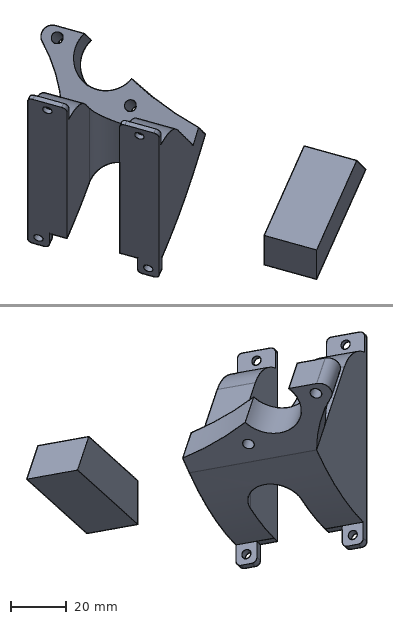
import cadquery as cq
import math


bracket_width = 50.0
bracket_height = 83.6
flange_width = 15.0
top_flange_thickness = 2.0
flange_corner_radius = 2.0
slot_width = bracket_width - 2 * flange_width
slot_depth = 34.1
shoulder_z = 75.4
shoulder_mid_y = 10.8
shoulder_mid_z = 71.8
slope_start_y = 19.8

tab_width = 8.3
tab_height = 8.3
tab_thickness = 3.3
screw_diameter = 3.5
screw_edge_distance = 4.0

arm_tilt = 30.0
arm_thickness = 15.0
arm_length = 28.4
arm_right_length = 6.8
arm_tip_x = -11.0
arm_tip_radius = 4.1
arm_tip_end_angle = 35.0
arm_edge_mid = (-7.3, 13.6)
jaw_center_x = 10.3
jaw_radius = 12.0
jaw_end = (21.4, 17.3)
right_edge_mid = (35.0, 11.3)
arm_hole_diameter = 4.3
arm_holes = [(-9.1, 24.3), (23.8, 7.8)]

block_width = 20.0
block_height = 17.1
block_top_length = 43.3
overall_length = 125.0
block_right_x = overall_length + arm_tip_x - arm_tip_radius
block_bottom_z = 24.8

underside_radius = 88.5
tilt_sin = math.sin(math.radians(arm_tilt))
tilt_cos = math.cos(math.radians(arm_tilt))
underside_center_z = tab_height + underside_radius
joint_y = underside_radius * tilt_sin
joint_z = underside_center_z - underside_radius * tilt_cos
slope_start_z = joint_z + (joint_y - slope_start_y) * tilt_cos / tilt_sin


def underside_z(y):
    """Height of the underside arc at depth y."""
    return underside_center_z - math.sqrt(underside_radius ** 2 - y ** 2)


def make_body():
    """Side profile of flange, web and tab, extruded across the bracket width."""
    return (
        cq.Workplane("YZ")
        .moveTo(0, 0)
        .lineTo(0, bracket_height)
        .lineTo(top_flange_thickness, bracket_height)
        .lineTo(top_flange_thickness, shoulder_z)
        .threePointArc((shoulder_mid_y, shoulder_mid_z), (slope_start_y, slope_start_z))
        .lineTo(joint_y, joint_z)
        .threePointArc((joint_y / 2, underside_z(joint_y / 2)), (tab_thickness, underside_z(tab_thickness)))
        .lineTo(tab_thickness, 0)
        .close()
        .extrude(bracket_width)
    )


def make_slot():
    """Vertical round-ended slot between the two flanges."""
    round_center_y = slot_depth - slot_width / 2
    right_x = bracket_width - flange_width
    return (
        cq.Workplane("XY")
        .moveTo(flange_width, 0)
        .lineTo(right_x, 0)
        .lineTo(right_x, round_center_y)
        .threePointArc((bracket_width / 2, slot_depth), (flange_width, round_center_y))
        .close()
        .extrude(bracket_height)
    )


def make_tab_gap():
    """Clearance between the two lower tabs."""
    gap_width = bracket_width - 2 * tab_width
    return cq.Workplane("XY").box(gap_width, tab_thickness, tab_height, centered=False).translate((tab_width, 0, 0))


def round_flange_corners(body):
    """Round the four top flange corners and the four lower tab corners."""
    margin = flange_corner_radius / 2
    for z in (0, bracket_height):
        selector = cq.selectors.BoxSelector(
            (-margin, -margin, z - margin),
            (bracket_width + margin, tab_thickness + margin, z + margin),
        )
        body = body.edges("|Y").edges(selector).fillet(flange_corner_radius)
    return body


def make_screw_holes():
    """Two holes at the flange tops and one in each lower tab."""
    top_z = bracket_height - screw_edge_distance
    points = []
    for top_x, tab_x in (
        (flange_width / 2, tab_width / 2),
        (bracket_width - flange_width / 2, bracket_width - tab_width / 2),
    ):
        points.append((top_x, top_z))
        points.append((tab_x, screw_edge_distance))
    return cq.Workplane("XZ").pushPoints(points).circle(screw_diameter / 2).extrude(-tab_thickness)


def make_arm():
    """Tilted clamp arm, drawn on its upper face with the joint line as its x axis."""
    upper_face = cq.Plane(
        origin=(0, joint_y - arm_thickness * tilt_sin, joint_z + arm_thickness * tilt_cos),
        xDir=(1, 0, 0),
        normal=(0, -tilt_sin, tilt_cos),
    )
    jaw_center_v = arm_length - math.sqrt(jaw_radius ** 2 - jaw_center_x ** 2)
    tip_center_v = arm_length - arm_tip_radius
    tip_end_angle = math.radians(arm_tip_end_angle)
    arm_edge_end = (
        arm_tip_x - arm_tip_radius * math.cos(tip_end_angle),
        tip_center_v - arm_tip_radius * math.sin(tip_end_angle),
    )
    tip_offset = arm_tip_radius * math.sqrt(0.5)
    arm = (
        cq.Workplane(upper_face)
        .moveTo(0, 0)
        .threePointArc(arm_edge_mid, arm_edge_end)
        .threePointArc((arm_tip_x - tip_offset, tip_center_v + tip_offset), (arm_tip_x, arm_length))
        .lineTo(0, arm_length)
        .threePointArc((jaw_center_x, jaw_center_v - jaw_radius), jaw_end)
        .threePointArc(right_edge_mid, (bracket_width, arm_right_length))
        .lineTo(bracket_width, 0)
        .close()
        .extrude(-arm_thickness)
    )
    holes = cq.Workplane(upper_face).pushPoints(arm_holes).circle(arm_hole_diameter / 2).extrude(-arm_thickness)
    return arm.cut(holes)


def make_bracket():
    """Body with its slot, tabs and holes, joined to the clamp arm."""
    body = make_body().cut(make_slot()).cut(make_tab_gap())
    body = round_flange_corners(body).cut(make_screw_holes())
    return body.union(make_arm())


def make_block():
    """Block whose rear face is parallel to the bracket's sloped back."""
    bottom_length = block_top_length + block_height * tilt_sin / tilt_cos
    block_top_z = block_bottom_z + block_height
    return (
        cq.Workplane("YZ", origin=(block_right_x - block_width, 0, 0))
        .moveTo(0, block_bottom_z)
        .lineTo(bottom_length, block_bottom_z)
        .lineTo(block_top_length, block_top_z)
        .lineTo(0, block_top_z)
        .close()
        .extrude(block_width)
    )


bracket = make_bracket()
block = make_block()

result = cq.Compound.makeCompound([bracket.solids().val(), block.val()])